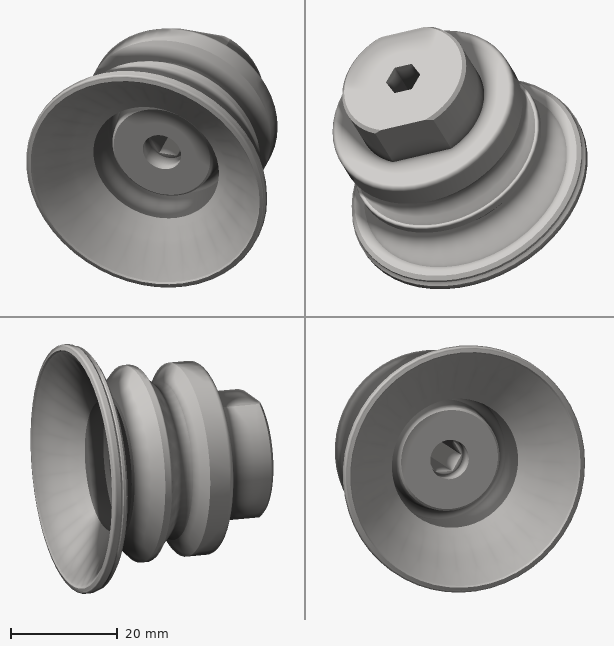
import cadquery as cq
import math


lip_r = 23.5
lip_mouth_r = 22.45
lip_front_r = 23.1
lip_front_y = 0.17
lip_round_y = 0.6
lip_band_y = 1.45
groove_r = 22.95
groove_y = 1.97
bead_r = 23.1
bead_start_y = 2.15
bead_end_y = 2.65
lip_back_r = 22.32
lip_back_y = 3.2
skirt_r = 20.35

waist_r = 14.1
waist_start_y = 6.95
waist_end_y = 7.5
fold_r = 18.6
fold_start_y = 12.05
fold_end_y = 13.55
fold_round = 0.38
fold_ledge_r = 17.95
throat_r = 14.48
throat_edge_r = 14.95
throat_start_y = 16.55
throat_y = 17.7
throat_end_y = 18.85

flange_r = 18.3
flange_start_y = 21.1
flange_round = 0.95
flange_end_y = 26.0
boss_r = 12.45
boss_end_y = 36.0
boss_chamfer = 0.6
flat_half_width = 11.0

lip_edge_r = 22.2
lip_edge_y = 0.3
opening_r = 12.3
opening_y = 7.1
inner_fold_r = 16.3
inner_fold_y = 12.2
channel_outer_r = 12.4
channel_outer_y = inner_fold_y + inner_fold_r - channel_outer_r
channel_depth = 0.8
channel_inner_rise = 0.15
channel_bottom_r = 11.3
channel_bottom_y = channel_outer_y + channel_depth
channel_inner_r = 10.55
channel_inner_y = channel_outer_y + channel_inner_rise

plug_r = 9.85
plug_face_y = 10.8
plug_chamfer = 0.4
bore_r = 3.75
bore_depth = 3.95
hex_across_flats = 5.95


def quarter_round_mid(radius, y, size):
    """Middle point of a quarter round that ends at (radius, y - size) and (radius - size, y)."""
    inset = size * (1 - math.sqrt(0.5))
    return radius - inset, y - inset


def revolved_body():
    lip_round_mid = (
        lip_front_r + (lip_r - lip_front_r) * math.sqrt(0.5),
        lip_round_y - (lip_round_y - lip_front_y) * math.sqrt(0.5),
    )
    outline = (
        cq.Workplane("XY")
        .moveTo(0, plug_face_y)
        .lineTo(plug_r - plug_chamfer, plug_face_y)
        .lineTo(plug_r, plug_face_y + plug_chamfer)
        .lineTo(channel_inner_r, channel_inner_y)
        .threePointArc((channel_bottom_r, channel_bottom_y), (channel_outer_r, channel_outer_y))
        .lineTo(inner_fold_r, inner_fold_y)
        .lineTo(opening_r, opening_y)
        .lineTo(lip_edge_r, lip_edge_y)
        .lineTo(lip_mouth_r, 0)
        .lineTo(lip_front_r, lip_front_y)
        .threePointArc(lip_round_mid, (lip_r, lip_round_y))
        .lineTo(lip_r, lip_band_y)
        .lineTo(groove_r, groove_y)
        .lineTo(bead_r, bead_start_y)
        .lineTo(bead_r, bead_end_y)
        .lineTo(lip_back_r, lip_back_y)
        .lineTo(skirt_r, lip_back_y)
        .lineTo(waist_r, waist_start_y)
        .lineTo(waist_r, waist_end_y)
        .lineTo(fold_r, fold_start_y)
        .lineTo(fold_r, fold_end_y - fold_round)
        .threePointArc(quarter_round_mid(fold_r, fold_end_y, fold_round), (fold_r - fold_round, fold_end_y))
        .lineTo(fold_ledge_r, fold_end_y)
        .lineTo(throat_edge_r, throat_start_y)
        .threePointArc((throat_r, throat_y), (throat_edge_r, throat_end_y))
        .lineTo(flange_r, flange_start_y)
        .lineTo(flange_r, flange_end_y - flange_round)
        .threePointArc(
            quarter_round_mid(flange_r, flange_end_y, flange_round),
            (flange_r - flange_round, flange_end_y),
        )
        .lineTo(boss_r, flange_end_y)
        .lineTo(boss_r, boss_end_y - boss_chamfer)
        .lineTo(boss_r - boss_chamfer, boss_end_y)
        .lineTo(0, boss_end_y)
        .close()
    )
    return outline.revolve(360, (0, 0, 0), (0, 1, 0))


def flat_cutter(side):
    """Block that removes the boss beyond one flat; side is +1 for +Z and -1 for -Z."""
    depth = boss_r - flat_half_width
    length = boss_end_y - flange_end_y
    return cq.Workplane("XY").box(2 * boss_r, length, depth).translate(
        (0, flange_end_y + length / 2, side * (flat_half_width + depth / 2))
    )


def screw_hole():
    """Round bore from the plug face, continued by a hexagon with corners on X through the boss."""
    bore = cq.Workplane("XZ", origin=(0, plug_face_y, 0)).circle(bore_r).extrude(-bore_depth)
    hexagon = (
        cq.Workplane("XZ", origin=(0, plug_face_y, 0))
        .polygon(6, hex_across_flats / math.cos(math.pi / 6))
        .extrude(plug_face_y - boss_end_y)
    )
    return bore.union(hexagon)


result = revolved_body()
for side in (1, -1):
    result = result.cut(flat_cutter(side))
result = result.cut(screw_hole())